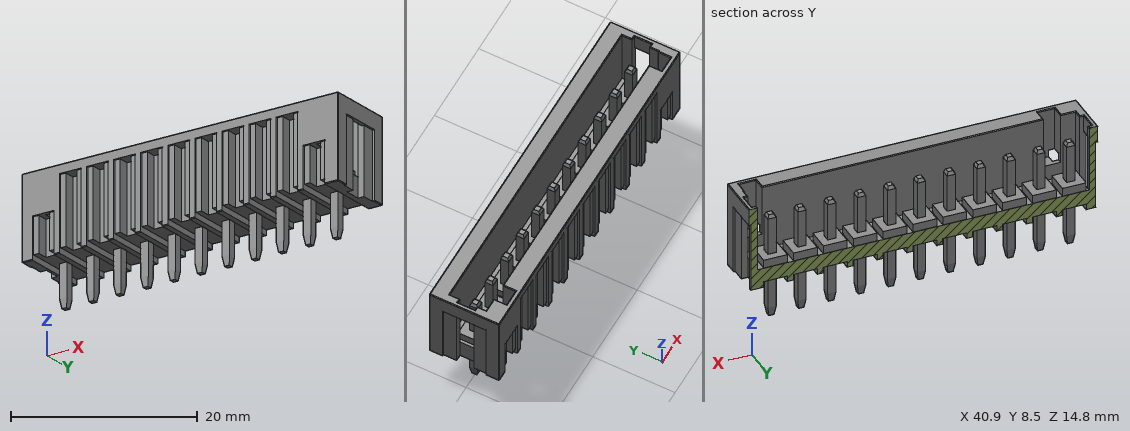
import cadquery as cq

HOUSING_LENGTH = 40.9
HOUSING_WIDTH = 8.5
HOUSING_HEIGHT = 10.3
EDGE_CHAMFER = 0.1

PIN_COUNT = 11
ROW_LENGTH = 35.0
PIN_PITCH = ROW_LENGTH / (PIN_COUNT - 1)
ROW_SHIFT_X = -0.185
ROW_Y = 0.1
PIN_SIZE = 1.0
PIN_TIP_SIZE = 0.6
PIN_BOTTOM_Z = -4.5
BOTTOM_TIP_HEIGHT = 1.1
PIN_SHOULDER_Z = 7.9
TOP_TIP_HEIGHT = 0.4

CAVITY_LENGTH = 38.85
CAVITY_WIDTH = 4.4
FLOOR_Z = 2.45
PAD_SIZE = 2.8
PAD_TOP_Z = 3.45

GROOVE_STEP_DEPTH = 0.25
GROOVE_CORE_WIDTH = 1.4
GROOVE_DEPTH = 1.55
GROOVE_TOP_Z = 9.2
END_GROOVE_TOP_Z = 5.1
CHANNEL_HEIGHT = 0.7

END_GROOVE_WIDTH = 5.3
END_CORE_WIDTH = 2.1
END_STEP_DEPTH = 0.25
END_WINDOW_TOP_Z = 8.25
END_ROOF_THICKNESS = 0.55

KEY_WIDTH = 2.0
KEY_FLOOR_Z = 4.3
KEY_FRONT_WALL = 0.57

FRONT_Y = -HOUSING_WIDTH / 2
END_X = HOUSING_LENGTH / 2
CAVITY_FRONT_Y = ROW_Y - CAVITY_WIDTH / 2
CAVITY_END_X = CAVITY_LENGTH / 2
PIN_XS = [ROW_SHIFT_X - ROW_LENGTH / 2 + i * PIN_PITCH for i in range(PIN_COUNT)]


def block(x_range, y_range, z_range):
    """Box spanning the given (low, high) ranges."""
    (x0, x1), (y0, y1), (z0, z1) = x_range, y_range, z_range
    return cq.Workplane("XY").box(x1 - x0, y1 - y0, z1 - z0, centered=False).translate((x0, y0, z0))


def around(center, size):
    """(low, high) range of the given size about a centre."""
    return center - size / 2, center + size / 2


def upper_opening():
    """Cavity with its end recesses and keying notches."""
    top = (FLOOR_Z, HOUSING_HEIGHT)
    opening = block(around(0, CAVITY_LENGTH), around(ROW_Y, CAVITY_WIDTH), top)
    recess_length = HOUSING_LENGTH - 2 * END_ROOF_THICKNESS
    opening = opening.union(block(around(0, recess_length), around(0, END_CORE_WIDTH), top))
    for x in (PIN_XS[0], PIN_XS[-1]):
        key_y = (FRONT_Y + KEY_FRONT_WALL, CAVITY_FRONT_Y)
        key_x = (x, min(x + KEY_WIDTH, CAVITY_END_X))
        opening = opening.union(block(key_x, key_y, (KEY_FLOOR_Z, HOUSING_HEIGHT)))
    return opening


def cavity_pads():
    """Square pads standing on the cavity floor, one around each pin."""
    pads = cq.Workplane("XY")
    for x in PIN_XS:
        pads = pads.union(block(around(x, PAD_SIZE), around(ROW_Y, PAD_SIZE), (0, PAD_TOP_Z)))
    return pads


def front_groove(x, top_z):
    """Stepped groove in the front wall and the channel under the housing below it."""
    step_y = (FRONT_Y, FRONT_Y + GROOVE_STEP_DEPTH)
    core_y = (FRONT_Y, FRONT_Y + GROOVE_DEPTH)
    step = block(around(x, PAD_SIZE), step_y, (0, top_z))
    core = block(around(x, GROOVE_CORE_WIDTH), core_y, (0, top_z))
    channel = block(around(x, PAD_SIZE), around(0, HOUSING_WIDTH), (0, CHANNEL_HEIGHT))
    return step.union(core).union(channel)


def end_groove():
    """Stepped groove in the -X end wall, with its core open to the cavity."""
    height = (0, END_WINDOW_TOP_Z)
    step = block((-END_X, -END_X + END_STEP_DEPTH), around(0, END_GROOVE_WIDTH), height)
    core = block((-END_X, -CAVITY_END_X), around(0, END_CORE_WIDTH), height)
    return step.union(core)


def pin_tip(x, shoulder_z, height):
    """Square taper rising (or falling, for a negative height) from a pin shoulder."""
    base = cq.Workplane("XY", origin=(x, ROW_Y, shoulder_z)).rect(PIN_SIZE, PIN_SIZE)
    return base.workplane(offset=height).rect(PIN_TIP_SIZE, PIN_TIP_SIZE).loft()


def pin(x):
    """Square pin with a tapered tip at each end."""
    bottom_shoulder_z = PIN_BOTTOM_Z + BOTTOM_TIP_HEIGHT
    shaft = block(around(x, PIN_SIZE), around(ROW_Y, PIN_SIZE), (bottom_shoulder_z, PIN_SHOULDER_Z))
    top_tip = pin_tip(x, PIN_SHOULDER_Z, TOP_TIP_HEIGHT)
    bottom_tip = pin_tip(x, bottom_shoulder_z, -BOTTOM_TIP_HEIGHT)
    return shaft.union(top_tip).union(bottom_tip)


housing = block(around(0, HOUSING_LENGTH), around(0, HOUSING_WIDTH), (0, HOUSING_HEIGHT))
housing = housing.edges().chamfer(EDGE_CHAMFER)
housing = housing.cut(upper_opening()).union(cavity_pads())

rim_edges = cq.selectors.BoxSelector(
    (-END_X + END_ROOF_THICKNESS / 2, FRONT_Y + KEY_FRONT_WALL / 2, HOUSING_HEIGHT - EDGE_CHAMFER / 2),
    (END_X - END_ROOF_THICKNESS / 2, -FRONT_Y - KEY_FRONT_WALL / 2, HOUSING_HEIGHT + EDGE_CHAMFER / 2),
)
housing = housing.edges(rim_edges).chamfer(EDGE_CHAMFER)

for x in PIN_XS:
    is_end_pin = x in (PIN_XS[0], PIN_XS[-1])
    housing = housing.cut(front_groove(x, END_GROOVE_TOP_Z if is_end_pin else GROOVE_TOP_Z))
housing = housing.cut(end_groove()).cut(end_groove().mirror("YZ"))

result = housing
for x in PIN_XS:
    result = result.union(pin(x))